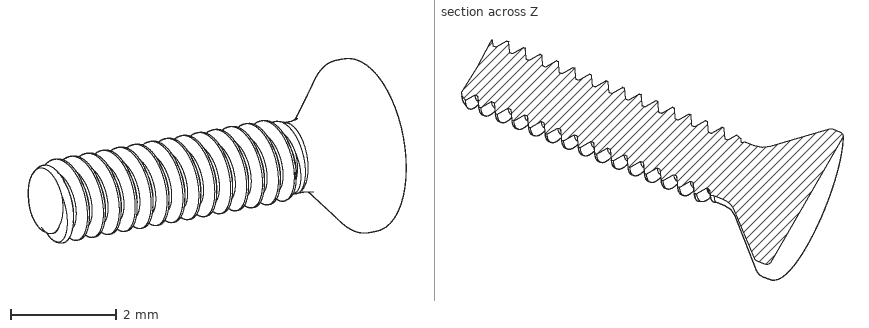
import cadquery as cq
import math


TOTAL_LENGTH = 7.0

MAJOR_RADIUS = 1.6 / 2
PITCH = 0.35
FLANK_ANGLE = math.radians(30)
TRIANGLE_HEIGHT = PITCH / 2 / math.tan(FLANK_ANGLE)
ROOT_RADIUS = MAJOR_RADIUS - TRIANGLE_HEIGHT * 17 / 24
PITCH_RADIUS = MAJOR_RADIUS - TRIANGLE_HEIGHT * 3 / 8
CREST_WIDTH = PITCH / 8
CORE_OVERLAP = 0.03
ENVELOPE_RADIUS = MAJOR_RADIUS + 0.02

HEAD_RADIUS = 3.35 / 2
HEAD_CYLINDER = 0.294
HEAD_EDGE_RADIUS = 0.1

NECK_RADIUS = PITCH_RADIUS
NECK_FILLET = 0.4
NECK_START = HEAD_CYLINDER + HEAD_RADIUS - NECK_RADIUS
NECK_END = 1.633

RUN_IN_SLOPE = (MAJOR_RADIUS - NECK_RADIUS) / PITCH
RUN_IN_LENGTH = (ENVELOPE_RADIUS - NECK_RADIUS) / RUN_IN_SLOPE
NECK_TAPER_END = NECK_END + PITCH / 2
TIP_RADIUS = 0.685
TIP_ANGLE = math.radians(30)
TIP_CHAMFER = (ENVELOPE_RADIUS - TIP_RADIUS) / math.tan(TIP_ANGLE)
DISH_RADIUS = 0.635
DISH_DEPTH = 0.02


def revolved(outline):
    """Solid of revolution about Z from (radius, height) points that start and end on the axis."""
    return cq.Workplane("XZ").polyline(outline).close().revolve(360, (0, 0, 0), (0, 1, 0))


def circle_at(radius, height):
    """Selector for the circular edge of a given radius and height."""
    tolerance = 0.01
    reach = radius + tolerance
    return cq.selectors.BoxSelector(
        (-reach, -reach, height - tolerance),
        (reach, reach, height + tolerance),
        boundingbox=True,
    )


def make_head_and_core():
    """Head, neck and thread core, with the rim edges and the neck corner rounded."""
    body = revolved([
        (0, 0),
        (HEAD_RADIUS, 0),
        (HEAD_RADIUS, HEAD_CYLINDER),
        (NECK_RADIUS, NECK_START),
        (NECK_RADIUS, NECK_END),
        (ROOT_RADIUS, NECK_TAPER_END),
        (ROOT_RADIUS, TOTAL_LENGTH),
        (0, TOTAL_LENGTH),
    ])
    for height in (0, HEAD_CYLINDER):
        body = body.edges(circle_at(HEAD_RADIUS, height)).fillet(HEAD_EDGE_RADIUS)
    return body.edges(circle_at(NECK_RADIUS, NECK_START)).fillet(NECK_FILLET)


def make_thread_envelope():
    """Turned blank that limits the thread: conical run-in, clearance over the crests, chamfered tip."""
    return revolved([
        (0, NECK_END),
        (NECK_RADIUS, NECK_END),
        (ENVELOPE_RADIUS, NECK_END + RUN_IN_LENGTH),
        (ENVELOPE_RADIUS, TOTAL_LENGTH - TIP_CHAMFER),
        (TIP_RADIUS, TOTAL_LENGTH),
        (0, TOTAL_LENGTH),
    ])


def make_ridge():
    """Right-handed thread ridge that overruns both ends of the thread by about a turn."""
    start = NECK_END - PITCH
    turns = math.ceil((TOTAL_LENGTH - start) / PITCH) + 1
    base_radius = ROOT_RADIUS - CORE_OVERLAP
    half_crest = CREST_WIDTH / 2
    half_base = half_crest + (MAJOR_RADIUS - base_radius) * math.tan(FLANK_ANGLE)
    path = cq.Wire.makeHelix(PITCH, turns * PITCH, ROOT_RADIUS, cq.Vector(0, 0, start))
    return (
        cq.Workplane("XZ")
        .polyline([
            (base_radius, start - half_base),
            (MAJOR_RADIUS, start - half_crest),
            (MAJOR_RADIUS, start + half_crest),
            (base_radius, start + half_base),
        ])
        .close()
        .sweep(cq.Workplane(path), isFrenet=True)
    )


def make_tip_dish():
    """Cutter for the shallow conical hollow in the tip face."""
    return revolved([
        (0, TOTAL_LENGTH - DISH_DEPTH),
        (DISH_RADIUS, TOTAL_LENGTH),
        (0, TOTAL_LENGTH),
    ])


def make_screw():
    """Complete screw, laid down with its tip towards -Y."""
    thread = make_ridge().intersect(make_thread_envelope())
    upright = make_head_and_core().union(thread).cut(make_tip_dish())
    return upright.rotate((0, 0, 0), (1, 0, 0), 90)


result = make_screw()